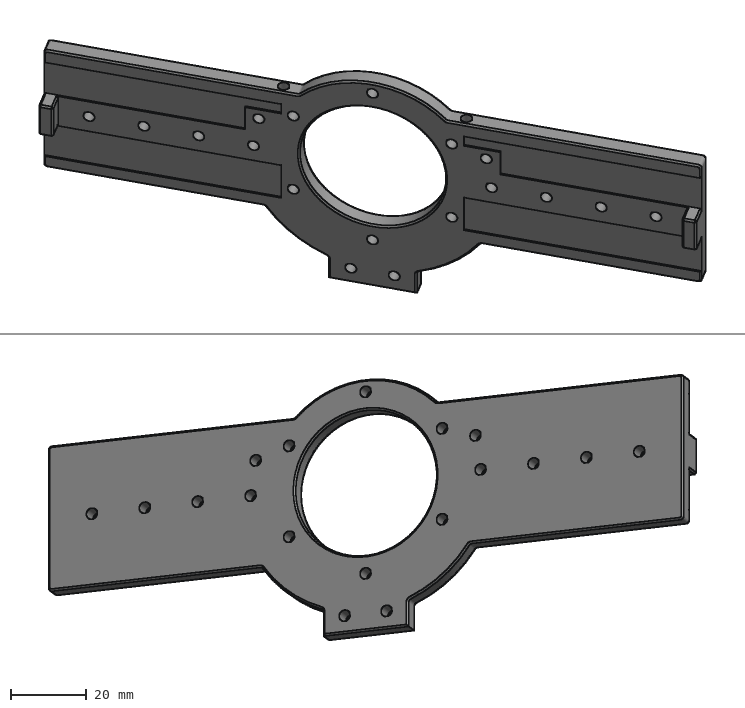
import cadquery as cq
import math

length = 180.0
plate_thickness = 5.0
overall_depth = 10.0
arm_height = 40.0
end_corner_radius = 1.0
edge_chamfer = 0.5

bore_radius = 20.0
upper_radius = 28.5
lower_radius = 35.6
junction_radius = 1.0

tab_width = 24.1
tab_bottom = 40.9

hole_diameter = 3.0
bolt_circle_radius = 25.0
bolt_count = 6
row_first = 32.5
row_last = 77.5
row_count = 4
notch_hole_x = 31.1
notch_hole_z = 9.5
tab_hole_x = 6.0
tab_hole_z = -36.0
top_hole_x = 25.0
top_hole_depth = 10.0

recess_depth = 0.5
recess_start = 25.0
upper_recess_top = 15.8
lower_recess_bottom = -16.2
recess_inner_z = 5.0
notch_x = 35.0
notch_z = 12.6

lug_width = 4.0
lug_height = 2 * recess_inner_z

half_length = length / 2
arm_half = arm_height / 2


def front_plane(y=0.0):
    """Sketch plane with X right and Z up, extruding toward -Y."""
    return cq.Workplane("XZ", origin=(0, y, 0))


def plate():
    """Arms, ring and tab as one outline, with its bore and chamfered edges."""
    arms = front_plane().rect(length, arm_height).extrude(plate_thickness)
    arms = arms.edges("|Y").fillet(end_corner_radius)
    upper_disc = front_plane().circle(upper_radius).extrude(plate_thickness)
    lower_half = (
        front_plane()
        .moveTo(-lower_radius, 0)
        .threePointArc((0, -lower_radius), (lower_radius, 0))
        .close()
        .extrude(plate_thickness)
    )
    tab = front_plane().center(0, -tab_bottom / 2).rect(tab_width, tab_bottom).extrude(plate_thickness)
    body = arms.union(upper_disc).union(lower_half).union(tab)

    upper_joint = math.sqrt(upper_radius**2 - arm_half**2)
    lower_joint = math.sqrt(lower_radius**2 - arm_half**2)
    tab_joint = math.sqrt(lower_radius**2 - (tab_width / 2) ** 2)
    joints = [(upper_joint, arm_half), (lower_joint, -arm_half), (tab_width / 2, -tab_joint)]
    for x, z in joints:
        for side in (-1, 1):
            corner = cq.selectors.NearestToPointSelector((side * x, -plate_thickness / 2, z))
            body = body.edges("|Y").edges(corner).fillet(junction_radius)

    body = body.cut(front_plane().circle(bore_radius).extrude(plate_thickness))
    return body.faces("<Y or >Y").edges().chamfer(edge_chamfer)


def recesses(side):
    """Upper (notched) and lower recess of the arm on the given side, open at the arm end."""
    sketch = front_plane(-(plate_thickness - recess_depth))
    upper = [
        (recess_start, upper_recess_top),
        (half_length, upper_recess_top),
        (half_length, recess_inner_z),
        (notch_x, recess_inner_z),
        (notch_x, notch_z),
        (recess_start, notch_z),
    ]
    lower = [
        (recess_start, lower_recess_bottom),
        (half_length, lower_recess_bottom),
        (half_length, -recess_inner_z),
        (recess_start, -recess_inner_z),
    ]
    cutter = cq.Workplane()
    for outline in (upper, lower):
        points = [(side * x, z) for x, z in outline]
        cutter = cutter.add(sketch.polyline(points).close().extrude(recess_depth))
    return cutter.combine()


def lug(side):
    """Block standing forward from the arm end, with its front and side edges chamfered."""
    root_y = -plate_thickness / 2
    block = (
        front_plane(root_y)
        .center(side * (half_length - lug_width / 2), 0)
        .rect(lug_width, lug_height)
        .extrude(overall_depth + root_y)
    )
    return block.edges("<Y or |Y").chamfer(edge_chamfer)


def front_holes():
    """Through holes along Y: bolt circle, arm rows, notch holes and tab holes."""
    bolt_angles = [math.radians(90 + i * 360 / bolt_count) for i in range(bolt_count)]
    points = [(bolt_circle_radius * math.cos(a), bolt_circle_radius * math.sin(a)) for a in bolt_angles]
    row_pitch = (row_last - row_first) / (row_count - 1)
    for side in (-1, 1):
        points += [(side * (row_first + i * row_pitch), 0) for i in range(row_count)]
        points.append((side * notch_hole_x, notch_hole_z))
        points.append((side * tab_hole_x, tab_hole_z))
    return front_plane().pushPoints(points).circle(hole_diameter / 2).extrude(plate_thickness)


def top_holes():
    """Blind holes drilled down into the top edge, beside the ring."""
    return (
        cq.Workplane("XY", origin=(0, -plate_thickness / 2, arm_half))
        .pushPoints([(-top_hole_x, 0), (top_hole_x, 0)])
        .circle(hole_diameter / 2)
        .extrude(-top_hole_depth)
    )


result = plate()
for arm_side in (-1, 1):
    result = result.cut(recesses(arm_side)).union(lug(arm_side))
result = result.cut(front_holes()).cut(top_holes())